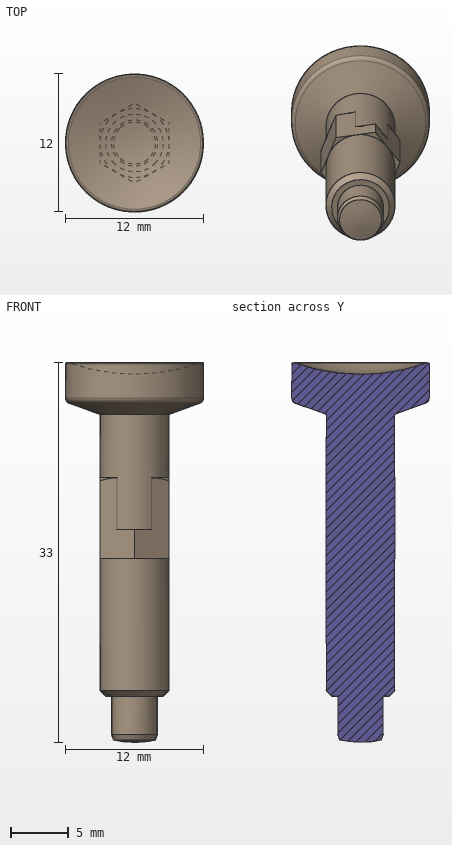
import cadquery as cq
import math


top_z = 17.0
knob_height = 4.5
hex_top_z = 7.0
notch_floor_z = 2.5
body_end_z = -12.0
pin_end_z = -16.0

knob_diameter = 12.0
body_diameter = 6.0
pin_diameter = 4.0
hex_across_flats = body_diameter
notch_width = body_diameter / 2

knob_cone_angle = 20.0
knob_lower_fillet = 0.5
knob_upper_fillet = 0.1
dish_diameter = 11.5
dish_depth = 1.0

hex_chamfer_angle = 30.0
body_chamfer = 0.5
pin_taper_length = 0.5
pin_taper_angle = 20.0
pin_dome_height = 0.2

selection_margin = 0.05

knob_radius = knob_diameter / 2
body_radius = body_diameter / 2
pin_radius = pin_diameter / 2
hex_corner_radius = hex_across_flats / math.sqrt(3)


def cylinder(radius, z_low, z_high):
    """Solid cylinder on the axis between two heights."""
    return cq.Workplane("XY").workplane(offset=z_low).circle(radius).extrude(z_high - z_low)


def revolve_profile(profile):
    """Close an outline, drawn as radius and height, and turn it about the Z axis."""
    return profile.close().revolve(360, (0, 0, 0), (0, 1, 0))


def round_ring(solid, height, fillet_radius):
    """Fillet the circular edge whose centre lies on the axis at the given height."""
    ring = cq.selectors.BoxSelector(
        (-selection_margin, -selection_margin, height - selection_margin),
        (selection_margin, selection_margin, height + selection_margin),
    )
    return solid.edges(ring).fillet(fillet_radius)


def make_knob():
    """Knob with a conical underside, rounded edges and a spherical dish on top."""
    base_z = top_z - knob_height
    cone_height = (knob_radius - body_radius) * math.tan(math.radians(knob_cone_angle))
    cone_top_z = base_z + cone_height
    blank = revolve_profile(
        cq.Workplane("XZ")
        .moveTo(0, base_z)
        .lineTo(body_radius, base_z)
        .lineTo(knob_radius, cone_top_z)
        .lineTo(knob_radius, top_z)
        .lineTo(0, top_z)
    )
    rounded = round_ring(blank, cone_top_z, knob_lower_fillet)
    rounded = round_ring(rounded, top_z, knob_upper_fillet)

    dish_radius = dish_diameter / 2
    sphere_radius = (dish_radius**2 + dish_depth**2) / (2 * dish_depth)
    sphere = cq.Workplane("XY").sphere(sphere_radius)
    return rounded.cut(sphere.translate((0, 0, top_z - dish_depth + sphere_radius)))


def make_hexagon():
    """Hexagon with two corners on the Y axis, chamfered on top and notched at those corners."""
    prism = (
        cq.Workplane("XY")
        .polygon(6, 2 * hex_corner_radius)
        .extrude(hex_top_z)
        .rotate((0, 0, 0), (0, 0, 1), 90)
    )
    chamfer_slope = math.tan(math.radians(hex_chamfer_angle))
    chamfer_cone = revolve_profile(
        cq.Workplane("XZ")
        .lineTo(body_radius + hex_top_z / chamfer_slope, 0)
        .lineTo(body_radius, hex_top_z)
        .lineTo(0, hex_top_z)
    )
    notches = (
        cq.Workplane("XY")
        .workplane(offset=notch_floor_z)
        .rect(notch_width, knob_diameter)
        .extrude(hex_top_z - notch_floor_z)
    )
    return prism.intersect(chamfer_cone).cut(notches)


def make_shank():
    """Round shank from the hexagon seat up to the knob, as thick as the guide body."""
    return cylinder(body_radius, 0, top_z - knob_height)


def make_body():
    """Cylindrical guide body with a chamfered lower end."""
    return cylinder(body_radius, body_end_z, 0).faces("<Z").chamfer(body_chamfer)


def make_pin():
    """Locating pin with a tapered tip and a shallow domed end."""
    taper_inset = pin_taper_length * math.tan(math.radians(pin_taper_angle))
    tip_radius = pin_radius - taper_inset
    dome_edge_z = pin_end_z + pin_dome_height
    sphere_radius = (tip_radius**2 + pin_dome_height**2) / (2 * pin_dome_height)
    half_angle = math.asin(tip_radius / sphere_radius) / 2
    dome_mid_r = sphere_radius * math.sin(half_angle)
    dome_mid_z = pin_end_z + sphere_radius * (1 - math.cos(half_angle))
    return revolve_profile(
        cq.Workplane("XZ")
        .moveTo(0, pin_end_z)
        .threePointArc((dome_mid_r, dome_mid_z), (tip_radius, dome_edge_z))
        .lineTo(pin_radius, dome_edge_z + pin_taper_length)
        .lineTo(pin_radius, body_end_z)
        .lineTo(0, body_end_z)
    )


result = make_pin()
for piece in (make_body(), make_shank(), make_hexagon(), make_knob()):
    result = result.union(piece)